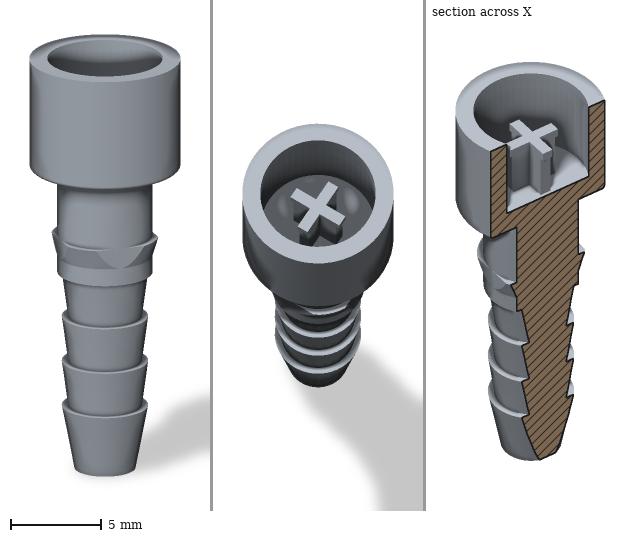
import cadquery as cq

total_height = 23.9
head_diameter = 8.4
head_height = 6.35
head_edge_fillet = 0.2
socket_diameter = 6.4
socket_depth = 5.0

cross_length = 3.2
cross_width = 0.65
cross_top_below_rim = 1.9
cross_cap_thickness = 0.5
cross_cap_overhang = 0.2

shank_diameter = 5.3
collar_diameter = 6.0
collar_height = 1.15
collar_bottom_above_shank_end = 1.0

barb_count = 4
barb_pitch = 2.6
barb_diameter = 4.8
barb_root_diameter = 4.1
tip_diameter = 3.4
tip_barb_height = 3.65

head_bottom = total_height - head_height
shank_bottom = tip_barb_height + (barb_count - 1) * barb_pitch
collar_bottom = shank_bottom + collar_bottom_above_shank_end
socket_floor = total_height - socket_depth


def cylinder(diameter, bottom, height):
    """Vertical cylinder on the part axis."""
    return cq.Workplane("XY").workplane(offset=bottom).circle(diameter / 2).extrude(height)


def cone(bottom_diameter, top_diameter, bottom, height):
    """Vertical truncated cone on the part axis."""
    return cq.Workplane("XY").add(
        cq.Solid.makeCone(bottom_diameter / 2, top_diameter / 2, height, pnt=cq.Vector(0, 0, bottom))
    )


def make_head():
    """Cup with a rounded lower edge and a blind round socket."""
    head = cylinder(head_diameter, head_bottom, head_height)
    head = head.faces("<Z").edges().fillet(head_edge_fillet)
    return head.cut(cylinder(socket_diameter, socket_floor, socket_depth))


def cross_prism(length, bottom, height):
    """Upright prism made of two equal bars crossing on the part axis."""
    base = cq.Workplane("XY").workplane(offset=bottom)
    bar_x = base.rect(length, cross_width).extrude(height)
    bar_y = base.rect(cross_width, length).extrude(height)
    return bar_x.union(bar_y)


def make_cross():
    """Cross stem on the socket floor, under a cap with slightly longer arms."""
    cap_bottom = total_height - cross_top_below_rim - cross_cap_thickness
    stem_length = cross_length - 2 * cross_cap_overhang
    stem = cross_prism(stem_length, socket_floor, cap_bottom - socket_floor)
    cap = cross_prism(cross_length, cap_bottom, cross_cap_thickness)
    return stem.union(cap)


def make_collar():
    """Cone widening upwards, trimmed by four flats tangent to the shank."""
    collar = cone(shank_diameter, collar_diameter, collar_bottom, collar_height)
    square = (
        cq.Workplane("XY")
        .workplane(offset=collar_bottom)
        .rect(shank_diameter, shank_diameter)
        .extrude(collar_height)
    )
    return collar.intersect(square)


def make_tail():
    """Long tip barb with equal shorter barbs stacked above it."""
    tail = cone(tip_diameter, barb_diameter, 0, tip_barb_height)
    for index in range(barb_count - 1):
        bottom = tip_barb_height + index * barb_pitch
        tail = tail.union(cone(barb_root_diameter, barb_diameter, bottom, barb_pitch))
    return tail


shank = cylinder(shank_diameter, shank_bottom, head_bottom - shank_bottom)
result = make_tail().union(shank).union(make_collar()).union(make_head()).union(make_cross())